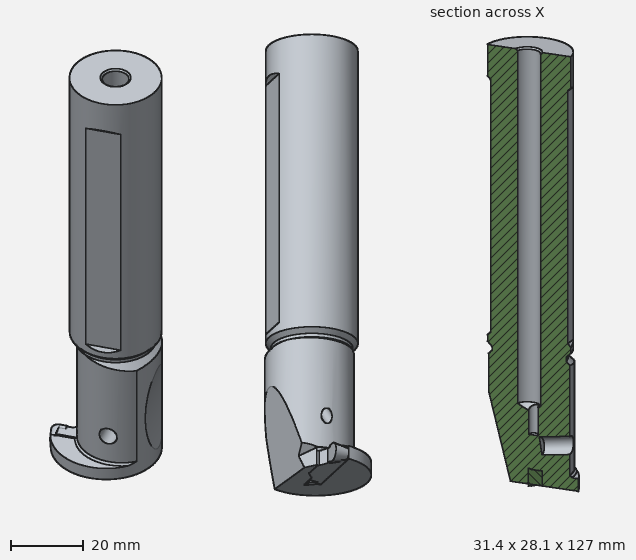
import cadquery as cq
import math

overall_length = 127.0
shank_radius = 12.7
shank_bottom = 40.5
groove_radius = 11.3
groove_bottom = 38.1
flat_offset = 11.7
flat_bottom = 43.3
flat_top = 116.8
flat_end_depth = shank_radius - flat_offset

neck_center_x = 1.8
neck_radius = 12.3
envelope_center = (-2.7, 0.0)
envelope_radius = 15.4
blade_bottom = 0.6
blade_top = 4.5
neck_foot = 0.6

bore_radius = 3.7
bore_chamfer = 0.5
bore_bottom = 21.6
drill_point_angle = 118.0
side_hole_diameter = 3.2
side_hole_mouth = (-10.5, -0.3, 15.4)
side_hole_slope = 45.0
front_hole_diameter = 5.1
front_hole_mouth = (1.5, -12.3, 13.7)
front_hole_direction = (-0.04, 1.0, -0.16)
front_hole_depth = 8.9
floor_hole_diameter = 2.8
floor_hole_center = (1.5, -1.3)
floor_hole_bottom = 15.2

back_relief_point = (1.8, 12.3, 26.0)
back_relief_normal = (-0.09, 1.0, -0.26)
scallop_radius = 66.0
scallop_z = 18.3
scallop_floor_x = 11.3
scallop_turn = 4.0
pocket_corner = (-9.4, 3.0)
pocket_wall_normal = (-0.6, 0.8, 0.0)
pocket_ceiling_point = (*pocket_corner, 5.6)
pocket_ceiling_normal = (-0.53, 0.43, -0.73)
notch_depth_x = -10.0
notch_top = 6.0
cutter_size = 76.2

nose_tip_x = -18.7
nose_width = 5.2
nose_radius = nose_width / 2
nose_length = 4.8
insert_center_x = -6.3
insert_bottom_y = -4.0
insert_top_y = 2.2
rake_y = 0.3
ramp_start_x = -12.3
ramp_end_x = pocket_corner[0]
nose_relief_angle = 13.0
waist_bottom = 0.6
waist_top = 5.0


def half_space(point, normal):
    """Large block lying on the side of a plane that its normal points to."""
    plane = cq.Plane(origin=point, normal=normal)
    return cq.Workplane(plane).rect(cutter_size, cutter_size).extrude(cutter_size)


def disc(center, radius, bottom, top):
    """Upright cylinder around an (x, y) center."""
    return cq.Workplane("XY", origin=(*center, bottom)).circle(radius).extrude(top - bottom)


def make_shank():
    """Round shank with two clamping flats and a groove at its lower end."""
    bottom_chamfer = shank_radius - groove_radius
    profile = [
        (0, overall_length),
        (-shank_radius, overall_length),
        (-shank_radius, shank_bottom),
        (-groove_radius, shank_bottom - bottom_chamfer),
        (-groove_radius, groove_bottom),
        (0, groove_bottom),
    ]
    shank = cq.Workplane("XZ").polyline(profile).close().revolve(360, (0, 0), (0, 1))
    flat_section = [
        (flat_offset, flat_bottom),
        (flat_offset, flat_top),
        (shank_radius, flat_top + flat_end_depth),
        (shank_radius, flat_bottom - flat_end_depth),
    ]
    flat = cq.Workplane("YZ").polyline(flat_section).close().extrude(shank_radius, both=True)
    return shank.cut(flat).cut(flat.mirror("XZ"))


def make_neck():
    """Eccentric neck, coned under the groove, with the thin round blade at its lower end."""
    neck_center = (neck_center_x, 0)
    neck = disc(neck_center, neck_radius, blade_bottom, groove_bottom)
    top_cone_height = groove_bottom - blade_bottom
    top_cone = cq.Workplane(
        cq.Solid.makeCone(groove_radius + top_cone_height, groove_radius, top_cone_height,
                          cq.Vector(0, 0, blade_bottom))
    )
    foot = cq.Workplane(
        cq.Solid.makeCone(neck_radius + neck_foot, neck_radius, neck_foot,
                          cq.Vector(neck_center_x, 0, blade_top))
    )
    envelope = disc(envelope_center, envelope_radius, blade_bottom, groove_bottom)
    blade = disc(envelope_center, envelope_radius, blade_bottom, blade_top)
    blade = blade.cut(half_space((0, 0, 0), (0, 1, 0)))
    return neck.intersect(top_cone).union(foot).intersect(envelope).union(blade)


def make_scallop():
    """Large cylinder that hollows the +X side of the neck between blade and groove."""
    return (
        cq.Workplane("XZ")
        .center(scallop_floor_x + scallop_radius, scallop_z)
        .circle(scallop_radius)
        .extrude(cutter_size / 2, both=True)
        .rotate((scallop_floor_x, 0, 0), (scallop_floor_x, 0, 1), -scallop_turn)
        .intersect(disc((0, 0), cutter_size, blade_top, groove_bottom))
    )


def make_chip_pocket():
    """Pocket behind the cutting edge, bounded by an upright wall and a sloping ceiling."""
    wall = half_space((*pocket_corner, 0), pocket_wall_normal)
    return wall.intersect(half_space(pocket_ceiling_point, pocket_ceiling_normal))


def make_notch():
    """Clearance in the neck above the insert, open to -X."""
    return cq.Workplane("XY").box(
        cutter_size, pocket_corner[1] - insert_bottom_y, notch_top - blade_bottom, centered=False
    ).translate((notch_depth_x - cutter_size, insert_bottom_y, blade_bottom))


def make_bore():
    """Chamfered axial bore with a drill-point floor."""
    point_height = bore_radius / math.tan(math.radians(drill_point_angle / 2))
    profile = [
        (0, overall_length),
        (-bore_radius - bore_chamfer, overall_length),
        (-bore_radius, overall_length - bore_chamfer),
        (-bore_radius, bore_bottom + point_height),
        (0, bore_bottom),
    ]
    return cq.Workplane("XZ").polyline(profile).close().revolve(360, (0, 0), (0, 1))


def make_floor_hole():
    """Small blind hole in the floor of the bore."""
    return disc(floor_hole_center, floor_hole_diameter / 2, floor_hole_bottom, shank_bottom)


def make_side_hole():
    """Coolant hole that falls from the bore to the -X side."""
    slope = math.radians(side_hole_slope)
    direction = cq.Vector(math.cos(slope), 0, math.sin(slope))
    mouth = cq.Vector(*side_hole_mouth)
    reach = -side_hole_mouth[0] / math.cos(slope)
    run_out = 2 * side_hole_diameter
    start = mouth - direction * run_out
    return cq.Workplane(
        cq.Solid.makeCylinder(side_hole_diameter / 2, reach + run_out, start, direction)
    )


def make_front_hole():
    """Blind hole that enters from -Y and dips slightly."""
    direction = cq.Vector(*front_hole_direction).normalized()
    run_out = front_hole_diameter
    start = cq.Vector(*front_hole_mouth) - direction * run_out
    return cq.Workplane(
        cq.Solid.makeCylinder(front_hole_diameter / 2, front_hole_depth + run_out, start, direction)
    )


def make_insert():
    """Double-ended insert: two round noses joined by a narrower waist."""
    nose_end_x = nose_tip_x + nose_length
    side_profile = [
        (insert_center_x, insert_bottom_y),
        (nose_tip_x, insert_bottom_y),
        (nose_tip_x, rake_y),
        (ramp_start_x, rake_y),
        (ramp_end_x, insert_top_y),
        (insert_center_x, insert_top_y),
    ]
    side = cq.Workplane("XY").polyline(side_profile).close().extrude(nose_width)
    nose_outline = (
        cq.Workplane("XZ", origin=(0, rake_y, 0))
        .moveTo(nose_end_x, 0)
        .lineTo(nose_tip_x + nose_radius, 0)
        .threePointArc((nose_tip_x, nose_radius), (nose_tip_x + nose_radius, nose_width))
        .lineTo(nose_end_x, nose_width)
        .close()
        .extrude(rake_y - insert_bottom_y, taper=nose_relief_angle)
    )
    waist_end_x = nose_tip_x + nose_radius
    waist = cq.Workplane("XY").box(
        insert_center_x - waist_end_x, insert_top_y - insert_bottom_y, waist_top - waist_bottom,
        centered=False,
    ).translate((waist_end_x, insert_bottom_y, waist_bottom))
    half = nose_outline.union(waist).intersect(side)
    return half.union(half.mirror("YZ", (insert_center_x, 0, 0)))


def make_nose_clearance():
    """Space around the free nose of the insert."""
    beyond_nose = half_space((nose_tip_x + nose_length, 0, 0), (-1, 0, 0))
    return beyond_nose.intersect(half_space((0, insert_bottom_y, 0), (0, 1, 0)))


def make_holder(insert):
    """Shank, neck and blade in one piece, with a seat that matches the insert."""
    neck = make_neck().cut(half_space(back_relief_point, back_relief_normal))
    neck = neck.cut(make_scallop()).cut(make_chip_pocket())
    neck = neck.cut(make_notch()).cut(make_nose_clearance())
    holder = make_shank().union(neck).cut(make_bore())
    for hole in (make_floor_hole(), make_side_hole(), make_front_hole()):
        holder = holder.cut(hole)
    return holder.cut(insert)


insert = make_insert()
holder = make_holder(insert)

result = cq.Compound.makeCompound([holder.solids().val(), insert.solids().val()])